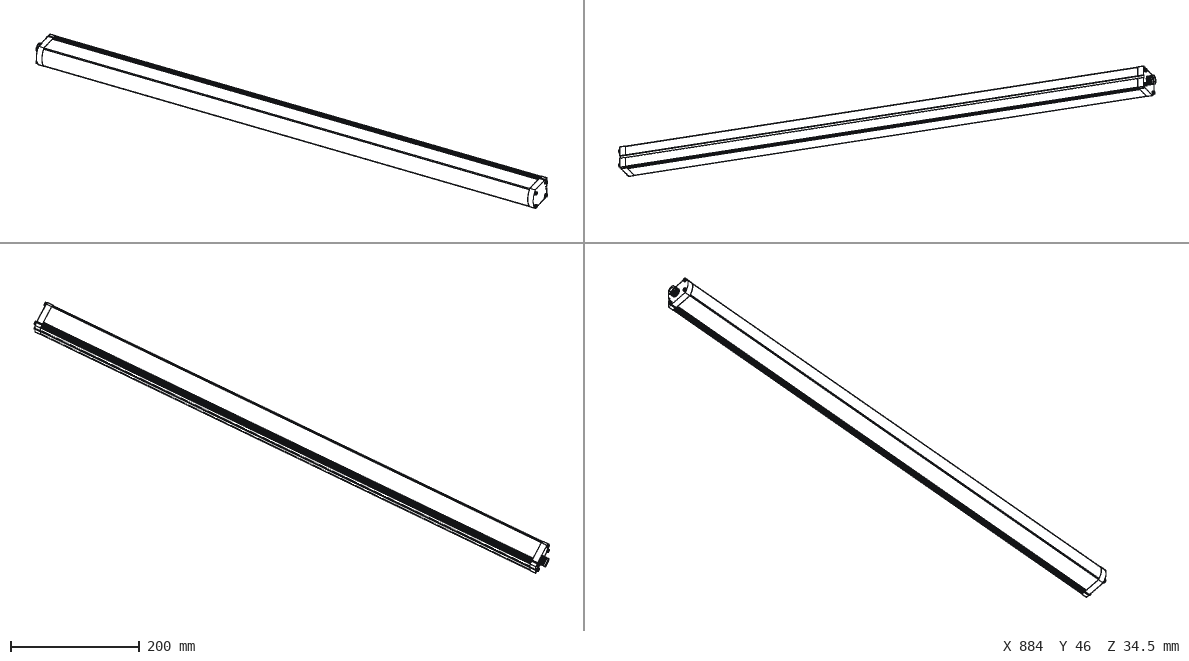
import cadquery as cq

total_length = 884.0
depth = 46.0
height = 34.5

connector_length = 11.0
head_height = 3.0
cap_thickness = 10.0

cap_start = -total_length / 2 + connector_length
cap_end = total_length / 2 - head_height
bar_start = cap_start + cap_thickness
bar_end = cap_end - cap_thickness

lens_bulge = 7.0
back_y = depth / 2
front_y = -depth / 2
lens_edge_y = front_y + lens_bulge
cap_step = 0.3

groove_depth = 0.4
groove_width = 2.0
rear_groove_inset = 3.0
groove_pitch = 3.5
groove_count = 3
capped_groove = 1
lens_recess = 0.4
lens_lip = 2.0
back_slot_width = 4.0
back_slot_depth = 3.0

head_diameter = 5.0
socket_diameter = 3.0
socket_depth = 2.0
screw_inset = 5.0
front_screw_y = -17.0

connector_diameter = 14.0
connector_bore_diameter = 8.0
connector_y = 4.0
ring_count = 3
ring_width = 2.0
ring_depth = 1.0


def section(start, end, inset):
    """Solid length of the D-shaped section, shrunk inward by the inset."""
    half_height = height / 2 - inset
    return (
        cq.Workplane("YZ", origin=(start, 0, 0))
        .moveTo(back_y - inset, -half_height)
        .lineTo(back_y - inset, half_height)
        .lineTo(lens_edge_y, half_height)
        .threePointArc((front_y + inset, 0), (lens_edge_y, -half_height))
        .close()
        .extrude(end - start)
    )


def long_box(start, end, y_size, z_size, y, z):
    """Box spanning two X positions, centred at (y, z)."""
    return cq.Workplane("YZ", origin=(start, 0, 0)).center(y, z).rect(y_size, z_size).extrude(end - start)


def cylinder(start, length, diameter, y, z):
    """Cylinder along X from the start position; a negative length runs toward -X."""
    return cq.Workplane("YZ", origin=(start, 0, 0)).center(y, z).circle(diameter / 2).extrude(length)


def cut_grooves(body):
    """Grooves in the top and bottom faces and the slot in the back."""
    for index in range(groove_count):
        y = back_y - rear_groove_inset - index * groove_pitch
        start, end = (cap_start, cap_end) if index == capped_groove else (bar_start, bar_end)
        for side in (-1, 1):
            body = body.cut(long_box(start, end, groove_width, 2 * groove_depth, y, side * height / 2))
    return body.cut(long_box(cap_start, cap_end, 2 * back_slot_depth, back_slot_width, back_y, 0))


def recess_lens(body):
    """Lower the lens surface between its top and bottom lips."""
    lens_y = front_y + lens_bulge / 2
    band = long_box(bar_start, bar_end, lens_bulge, height - 2 * lens_lip, lens_y, 0)
    return body.cut(band.cut(section(bar_start, bar_end, cap_step + lens_recess)))


def add_screws(body, face_x, direction):
    """Four round socket heads standing out from a cap face."""
    screw_z = height / 2 - screw_inset
    top_x = face_x + direction * head_height
    for y in (back_y - screw_inset, front_screw_y):
        for z in (-screw_z, screw_z):
            body = body.union(cylinder(face_x, direction * head_height, head_diameter, y, z))
            body = body.cut(cylinder(top_x, -direction * socket_depth, socket_diameter, y, z))
    return body


def make_connector():
    """Hollow stub on the -X cap with evenly spaced ring grooves."""
    stub = cylinder(cap_start, -connector_length, connector_diameter, connector_y, 0)
    core_diameter = connector_diameter - 2 * ring_depth
    pitch = connector_length / (ring_count + 1)
    for index in range(ring_count):
        ring_x = cap_start - (index + 1) * pitch
        ring = cylinder(ring_x, ring_width, connector_diameter, connector_y, 0)
        stub = stub.cut(ring.cut(cylinder(ring_x, ring_width, core_diameter, connector_y, 0)))
    bore = cylinder(cap_start, -connector_length, connector_bore_diameter, connector_y, 0)
    return stub.cut(bore)


caps = section(cap_start, bar_start, 0).union(section(bar_end, cap_end, 0))
result = caps.union(section(bar_start, bar_end, cap_step))
result = cut_grooves(result)
result = recess_lens(result)
result = add_screws(result, cap_start, -1)
result = add_screws(result, cap_end, 1)
result = result.union(make_connector())